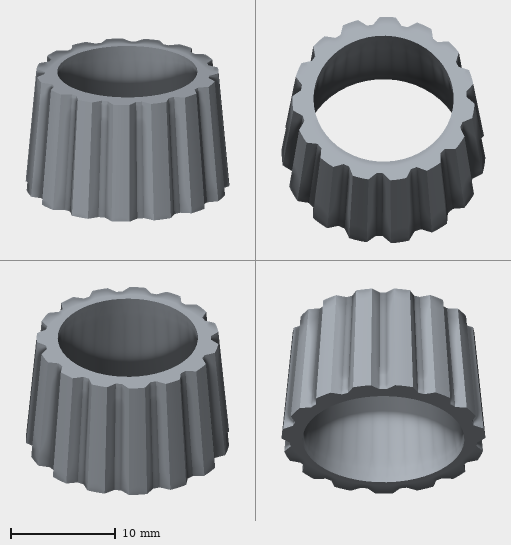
import cadquery as cq
import math

height = 11.61
tip_diameter = 19.57
tip_radius = tip_diameter / 2
tooth_depth = 0.78
taper_inset = 1.04
bore_radius = 6.73

tooth_count = 15
tooth_pitch = 360 / tooth_count
first_tooth_angle = 3.4
tip_half_angle = 5.1
root_half_angle = 2.1


def polar(radius, angle):
    """Point at a radius and an angle in degrees."""
    a = math.radians(angle)
    return (radius * math.cos(a), radius * math.sin(a))


def toothed_face(outline, tip):
    """Draw the ring of teeth on the given workplane."""
    root = tip - tooth_depth
    outline = outline.moveTo(*polar(tip, first_tooth_angle - tip_half_angle))
    for i in range(tooth_count):
        tooth = first_tooth_angle + i * tooth_pitch
        gap = tooth + tooth_pitch / 2
        next_tooth = tooth + tooth_pitch
        outline = (
            outline.threePointArc(polar(tip, tooth), polar(tip, tooth + tip_half_angle))
            .lineTo(*polar(root, gap - root_half_angle))
            .threePointArc(polar(root, gap), polar(root, gap + root_half_angle))
        )
        if i < tooth_count - 1:
            outline = outline.lineTo(*polar(tip, next_tooth - tip_half_angle))
    return outline.close()


base = toothed_face(cq.Workplane("XY"), tip_radius)
body = toothed_face(base.workplane(offset=height), tip_radius - taper_inset).loft(ruled=True)

bore = (
    cq.Workplane("XY")
    .circle(bore_radius + taper_inset)
    .workplane(offset=height)
    .circle(bore_radius)
    .loft(ruled=True)
)

result = body.cut(bore)